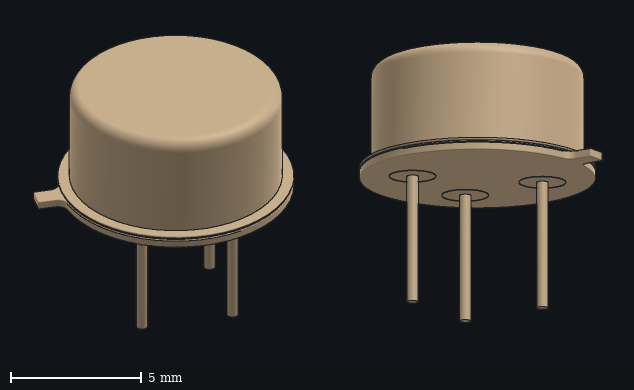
import cadquery as cq
import math

flange_diameter = 9.1
header_thickness = 0.35
edge_round = 0.05
lip_thickness = 0.1
neck_height = 0.05
neck_diameter = flange_diameter - 2 * edge_round

cap_diameter = 8.2
cap_top = 4.5
cap_round = 0.5

tab_width = 0.8
tab_reach = 5.56
tab_root_radius = 0.4
tab_direction = 225

lead_diameter = 0.45
lead_length = 5.0
lead_circle_radius = 2.54
lead_angles = (-90, 0, 90)
seal_diameter = 1.8
seal_protrusion = 0.02


def disc(diameter, bottom, top):
    """Upright cylinder on the Z axis between two heights."""
    return cq.Workplane("XY").workplane(offset=bottom).circle(diameter / 2).extrude(top - bottom)


def tab_outline():
    """Points of the tab along +X, whose concave root arcs run tangent into the flange rim."""
    rim_radius = flange_diameter / 2
    half_width = tab_width / 2
    center_y = half_width + tab_root_radius
    center_distance = rim_radius + tab_root_radius
    center_x = math.sqrt(center_distance**2 - center_y**2)
    rim_angle = math.asin(center_y / center_distance)
    rim_point = (rim_radius * math.cos(rim_angle), rim_radius * math.sin(rim_angle))
    arc_mid_angle = (-math.pi / 2 + rim_angle - math.pi) / 2
    arc_mid = (
        center_x + tab_root_radius * math.cos(arc_mid_angle),
        center_y + tab_root_radius * math.sin(arc_mid_angle),
    )
    side_start = (center_x, half_width)
    return rim_point, arc_mid, side_start


def mirrored(point):
    return (point[0], -point[1])


def make_header():
    """Round header plate with the index tab, its tab corners and flat-face edges rounded."""
    rim_point, arc_mid, side_start = tab_outline()
    half_width = tab_width / 2
    return (
        cq.Workplane("XY")
        .moveTo(*rim_point)
        .threePointArc(arc_mid, side_start)
        .lineTo(tab_reach, half_width)
        .lineTo(tab_reach, -half_width)
        .lineTo(*mirrored(side_start))
        .threePointArc(mirrored(arc_mid), mirrored(rim_point))
        .threePointArc((-flange_diameter / 2, 0), rim_point)
        .close()
        .extrude(header_thickness)
        .faces(">X")
        .edges("|Z")
        .fillet(edge_round)
        .faces("<Z or >Z")
        .edges()
        .fillet(edge_round)
        .rotate((0, 0, 0), (0, 0, 1), tab_direction)
    )


def make_cap():
    """Domed can on a lip with a fully rounded rim, set off from the header by a narrow neck."""
    lip_bottom = header_thickness + neck_height
    lip_top = lip_bottom + lip_thickness
    neck = disc(neck_diameter, header_thickness, lip_bottom)
    lip_radius = flange_diameter / 2
    lip_round = lip_thickness / 2
    lip = (
        cq.Workplane("XZ")
        .moveTo(0, lip_bottom)
        .lineTo(lip_radius - lip_round, lip_bottom)
        .threePointArc((lip_radius, lip_bottom + lip_round), (lip_radius - lip_round, lip_top))
        .lineTo(0, lip_top)
        .close()
        .revolve(360, (0, 0), (0, 1))
    )
    can = disc(cap_diameter, lip_bottom, cap_top).faces(">Z").edges().fillet(cap_round)
    return neck.union(lip).union(can)


def make_lead(angle):
    """Straight lead with its shallow round seal under the header."""
    x = lead_circle_radius * math.cos(math.radians(angle))
    y = lead_circle_radius * math.sin(math.radians(angle))
    lead = disc(lead_diameter, -lead_length, header_thickness)
    seal = disc(seal_diameter, -seal_protrusion, header_thickness)
    return lead.union(seal).translate((x, y, 0))


result = make_header().union(make_cap())
for lead_angle in lead_angles:
    result = result.union(make_lead(lead_angle))